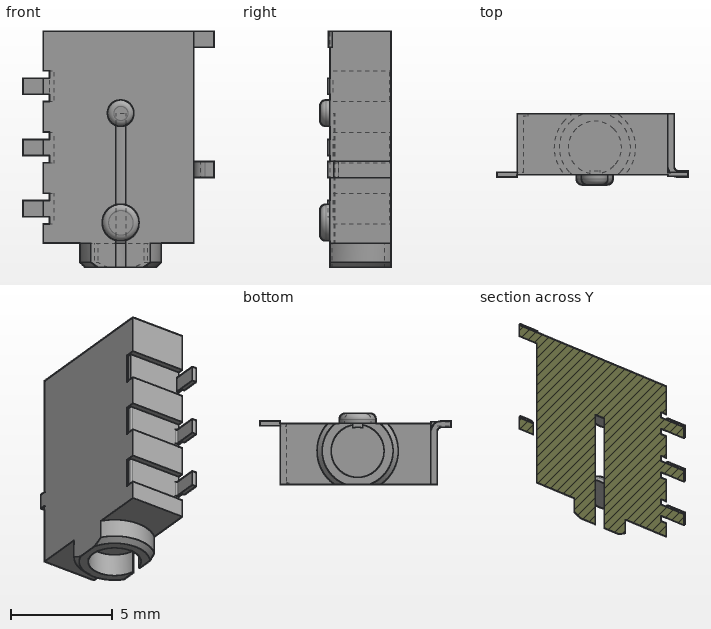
import cadquery as cq
import math

LENGTH = 11.6

housing_width = 7.4
housing_depth = 3.0
barrel_length = 1.2
axis_to_left_side = 3.8
left_side = -axis_to_left_side
right_side = left_side + housing_width

barrel_radius = 2.0
axis_y = 1.36
barrel_chamfer = 0.25
bore_radius = 1.3
core_radius = 1.16
slot_width = 0.5

peg_height = 0.5
peg_round = 0.3
large_peg_z = 2.2
large_peg_radius = 0.9
small_peg_z = 7.57
small_peg_radius = 0.65

terminal_width = 0.8
terminal_reach = 1.0
terminal_standoff = 0.12
terminal_thickness = 0.24
left_terminal_count = 3
left_terminal_pitch = 3.0
top_left_terminal_z = 8.9
notch_height = 1.5
notch_depth = 0.3
notch_floor = left_side + notch_depth
undercut_thickness = 0.09
undercut_depth = 0.23
bend_radius = 0.09
root_radius = 0.08

tab_standoff = 0.08
tab_thickness = 0.2
bracket_thickness = 0.31
bracket_inner_radius = 0.21
bracket_outer_radius = bracket_inner_radius + bracket_thickness
bracket_bottom = 4.41


def block(x_min, x_max, y_min, y_max, z_min, z_max):
    """Axis-aligned box given by its limits."""
    size = (x_max - x_min, y_max - y_min, z_max - z_min)
    return cq.Workplane("XY").box(*size, centered=False).translate((x_min, y_min, z_min))


def axis_cylinder(radius, z_min, z_max):
    """Solid cylinder on the barrel axis."""
    return cq.Workplane("XY", origin=(0, axis_y, z_min)).circle(radius).extrude(z_max - z_min)


def make_housing():
    """Box body with a chamfered barrel trimmed flush to its front and back."""
    body = block(left_side, right_side, 0, housing_depth, barrel_length, LENGTH)
    barrel = axis_cylinder(barrel_radius, 0, barrel_length).faces("<Z").chamfer(barrel_chamfer)
    trim = block(-barrel_radius, barrel_radius, 0, housing_depth, 0, barrel_length)
    return body.union(barrel.intersect(trim))


def cut_bore(part):
    """Barrel bore, and a slot whose floor inside the housing is a round solid core."""
    slot = block(-slot_width / 2, slot_width / 2, 0, axis_y, 0, small_peg_z)
    core = axis_cylinder(core_radius, barrel_length, small_peg_z)
    return part.cut(axis_cylinder(bore_radius, 0, barrel_length)).cut(slot.cut(core))


def make_peg(radius, z):
    """Round peg with a rounded rim, standing out of the mounting face."""
    peg = cq.Workplane("XZ", origin=(0, 0, z)).circle(radius).extrude(peg_height)
    return peg.faces("<Y").edges().fillet(peg_round)


def notch_cutter(z, rounded):
    """Left-side notch with an undercut along the back of its floor."""
    low = z - notch_height / 2
    high = z + notch_height / 2
    undercut_y = housing_depth - undercut_thickness
    cutter = block(left_side, notch_floor, 0, housing_depth, low, high)
    undercut = block(notch_floor, notch_floor + undercut_depth, undercut_y, housing_depth, low, high)
    cutter = cutter.union(undercut)
    if rounded:
        bend_x = notch_floor + bend_radius
        bend_y = undercut_y - bend_radius
        corner = block(notch_floor, bend_x, bend_y, undercut_y, low, high)
        bend = (
            cq.Workplane("XY", origin=(bend_x, bend_y, low))
            .circle(bend_radius)
            .extrude(notch_height)
        )
        cutter = cutter.union(corner.cut(bend))
    return cutter


def left_terminal(z, rounded):
    """Flat foot joined to the notch floor by a root flush with the mounting face."""
    low = z - terminal_width / 2
    high = z + terminal_width / 2
    back = terminal_thickness - terminal_standoff
    foot = block(left_side - terminal_reach, left_side, -terminal_standoff, back, low, high)
    terminal = foot.union(block(left_side, notch_floor, 0, back, low, high))
    if rounded:
        fillet_x = notch_floor - root_radius
        fillet_y = back + root_radius
        corner = block(fillet_x, notch_floor, back, fillet_y, low, high)
        round_off = (
            cq.Workplane("XY", origin=(fillet_x, fillet_y, low))
            .circle(root_radius)
            .extrude(terminal_width)
        )
        terminal = terminal.union(corner.cut(round_off))
    return terminal


def right_tab():
    """Flat tab level with the closed end of the housing."""
    back = tab_thickness - tab_standoff
    tip = right_side + terminal_reach
    return block(right_side, tip, -tab_standoff, back, LENGTH - terminal_width, LENGTH)


def right_bracket():
    """L-shaped terminal bent from a leg against the right side to a flat foot."""
    tip = right_side + terminal_reach
    bend_x = right_side + bracket_outer_radius
    bend_y = bracket_outer_radius - terminal_standoff
    inner_x = right_side + bracket_thickness
    inner_y = bracket_thickness - terminal_standoff
    outer_diagonal = bracket_outer_radius * math.sqrt(0.5)
    inner_diagonal = bracket_inner_radius * math.sqrt(0.5)
    return (
        cq.Workplane("XY", origin=(0, 0, bracket_bottom))
        .moveTo(right_side, housing_depth)
        .lineTo(right_side, bend_y)
        .threePointArc((bend_x - outer_diagonal, bend_y - outer_diagonal), (bend_x, -terminal_standoff))
        .lineTo(tip, -terminal_standoff)
        .lineTo(tip, inner_y)
        .lineTo(bend_x, inner_y)
        .threePointArc((bend_x - inner_diagonal, bend_y - inner_diagonal), (inner_x, bend_y))
        .lineTo(inner_x, housing_depth)
        .close()
        .extrude(terminal_width)
    )


result = cut_bore(make_housing())
result = result.union(make_peg(large_peg_radius, large_peg_z))
result = result.union(make_peg(small_peg_radius, small_peg_z))

for index in range(left_terminal_count):
    terminal_z = top_left_terminal_z - index * left_terminal_pitch
    has_bends = index > 0
    result = result.cut(notch_cutter(terminal_z, has_bends))
    result = result.union(left_terminal(terminal_z, has_bends))

result = result.union(right_tab()).union(right_bracket())